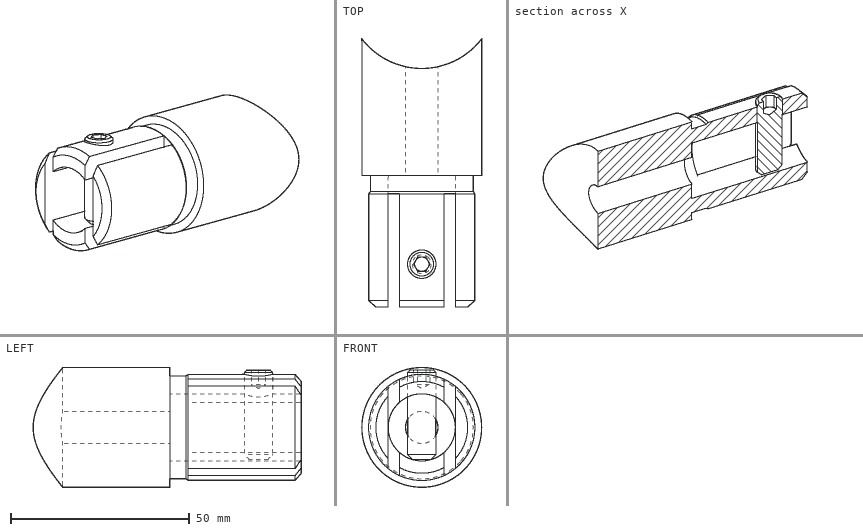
import cadquery as cq
import math

LENGTH = 75.4
BODY_DIAMETER = 33.7
BODY_RADIUS = BODY_DIAMETER / 2
SADDLE_RADIUS = 21.2

SHOULDER_Y = 36.95
NECK_RADIUS = 14.5
NECK_CONE_LENGTH = 0.7
SPIGOT_RADIUS = 14.9
SPIGOT_LENGTH = 31.8
NOSE_CHAMFER_LENGTH = 1.8
NOSE_CHAMFER_DEPTH = 2.0

BORE_RADIUS = 9.4
BORE_DEPTH = SHOULDER_Y
THROUGH_HOLE_RADIUS = 4.5
SLOT_OUTER_X = BORE_RADIUS
SLOT_INNER_X = 6.25

SCREW_Y = 12.1
SCREW_RADIUS = 4.0
SCREW_TOP_Z = 16.05
SCREW_LENGTH = 25.0
SCREW_TOP_CHAMFER = 0.7
SCREW_TIP_CHAMFER = 1.35
HEX_ACROSS_FLATS = 4.0
HEX_DEPTH = 4.0
HEX_CONE_ANGLE = 120.0


def rod(radius, length):
    """Cylinder on the Y axis that starts at y = 0."""
    return cq.Workplane("XZ").circle(radius).extrude(-length)


def make_blank():
    """Turned outer shape: spigot, neck and full-diameter body."""
    nose_radius = SPIGOT_RADIUS - NOSE_CHAMFER_DEPTH
    profile = [
        (0, 0),
        (nose_radius, 0),
        (SPIGOT_RADIUS, NOSE_CHAMFER_LENGTH),
        (SPIGOT_RADIUS, SPIGOT_LENGTH),
        (NECK_RADIUS, SPIGOT_LENGTH + NECK_CONE_LENGTH),
        (NECK_RADIUS, SHOULDER_Y),
        (BODY_RADIUS, SHOULDER_Y),
        (BODY_RADIUS, LENGTH),
        (0, LENGTH),
    ]
    return cq.Workplane("XY").polyline(profile).close().revolve(360, (0, 0, 0), (0, 1, 0))


def make_saddle_cutter():
    """Cylinder parallel to Z whose surface meets the body sides at y = LENGTH."""
    axis_y = LENGTH + math.sqrt(SADDLE_RADIUS**2 - BODY_RADIUS**2)
    return cq.Workplane("XY").center(0, axis_y).circle(SADDLE_RADIUS).extrude(BODY_DIAMETER, both=True)


def make_slot_cutter(side):
    """Slot through the spigot along Z; side is -1 or 1 for the -X or +X slot."""
    center_x = side * (SLOT_INNER_X + SLOT_OUTER_X) / 2
    return cq.Workplane("XY").box(
        SLOT_OUTER_X - SLOT_INNER_X, SPIGOT_LENGTH, BODY_DIAMETER
    ).translate((center_x, SPIGOT_LENGTH / 2, 0))


def make_screw_hole_cutter():
    """Hole for the screw, from the bore out through the +Z wall."""
    return cq.Workplane("XY").center(0, SCREW_Y).circle(SCREW_RADIUS).extrude(BODY_RADIUS)


def make_holder():
    holder = make_blank()
    holder = holder.cut(make_saddle_cutter())
    holder = holder.cut(rod(BORE_RADIUS, BORE_DEPTH))
    holder = holder.cut(rod(THROUGH_HOLE_RADIUS, LENGTH))
    for side in (-1, 1):
        holder = holder.cut(make_slot_cutter(side))
    return holder.cut(make_screw_hole_cutter())


def make_hex_socket_cutter():
    """Hexagon with corners on X, ending in a drilled cone as wide as its flats."""
    corner_diameter = HEX_ACROSS_FLATS / math.cos(math.pi / 6)
    hexagon = cq.Workplane("XY").polygon(6, corner_diameter).extrude(-HEX_DEPTH)
    flat_radius = HEX_ACROSS_FLATS / 2
    cone_height = flat_radius / math.tan(math.radians(HEX_CONE_ANGLE / 2))
    cone = cq.Solid.makeCone(
        flat_radius, 0, cone_height, cq.Vector(0, 0, -HEX_DEPTH), cq.Vector(0, 0, -1)
    )
    return hexagon.union(cq.Workplane(cone))


def make_set_screw():
    screw = cq.Workplane("XY").circle(SCREW_RADIUS).extrude(-SCREW_LENGTH)
    screw = screw.faces(">Z").chamfer(SCREW_TOP_CHAMFER)
    screw = screw.faces("<Z").chamfer(SCREW_TIP_CHAMFER)
    screw = screw.cut(make_hex_socket_cutter())
    return screw.translate((0, SCREW_Y, SCREW_TOP_Z))


holder = make_holder()
set_screw = make_set_screw()
result = cq.Compound.makeCompound([holder.solids().val(), set_screw.solids().val()])